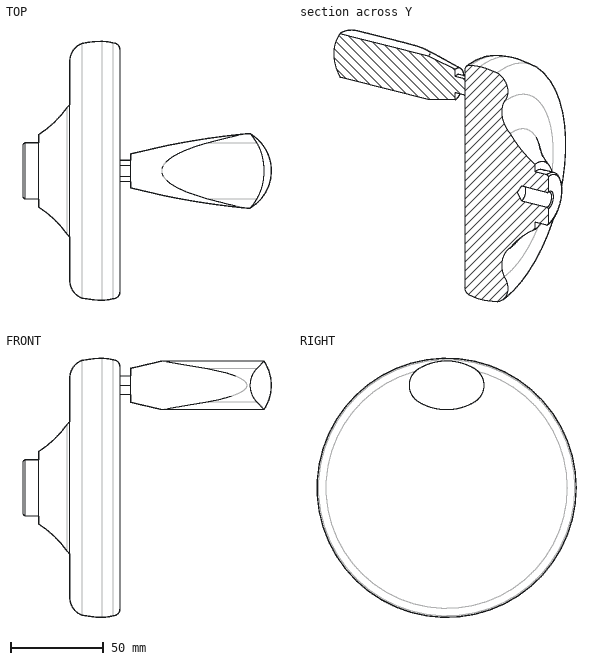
import cadquery as cq
import math

nose_radius = 15.3
nose_length = 8.4
nose_chamfer = 1.0
hole_radius = 4.3
hole_depth = 16.8
hole_chamfer = 0.7
drill_tip_angle = 118.0

shoulder_radius = 19.6
flare_middle = (16.5, 25.9)
flare_end = (23.8, 34.3)
valley_bottom = (29.0, 46.0)

wheel_radius = 70.0
rim_inner = (27.6, 52.5)
rim_front = (25.2, 58.5)
rim_shoulder = (31.9, 68.9)
rim_crown_front = (37.1, 69.7)
rim_crown_x = 42.5
rim_crown_rear = (45.6, 69.78)
rim_rear_edge = (48.6, 69.2)
rim_rear_bend = (51.5, 67.8)
rim_rear_radius = 65.1
wheel_back_x = 52.4

grip_offset = 55.3
stem_across_flats = 10.1
grip_start_x = 58.1
grip_start_radius = 9.2
grip_middle = (90.3, 16.1)
dome_start_x = 122.3
grip_end_radius = 20.3
tip_x = 134.1

oval_half_height = 13.2
oval_top_radius = 29.3
oval_end_radius = 10.5
oval_half_width = 20.2


def make_wheel():
    """Revolve the solid handwheel about X, then bore the centre hole."""
    profile = (
        cq.Workplane("XY")
        .lineTo(0, nose_radius - nose_chamfer)
        .lineTo(nose_chamfer, nose_radius)
        .lineTo(nose_length, nose_radius)
        .lineTo(nose_length, shoulder_radius)
        .threePointArc(flare_middle, flare_end)
        .threePointArc(valley_bottom, rim_inner)
        .threePointArc(rim_front, rim_shoulder)
        .threePointArc(rim_crown_front, (rim_crown_x, wheel_radius))
        .threePointArc(rim_crown_rear, rim_rear_edge)
        .threePointArc(rim_rear_bend, (wheel_back_x, rim_rear_radius))
        .lineTo(wheel_back_x, 0)
        .close()
    )
    wheel = profile.revolve(360, (0, 0, 0), (1, 0, 0))
    return wheel.cut(make_centre_hole())


def make_centre_hole():
    """Chamfered blind hole with a conical drill tip."""
    tip_length = hole_radius / math.tan(math.radians(drill_tip_angle / 2))
    return (
        cq.Workplane("XY")
        .lineTo(0, hole_radius + hole_chamfer)
        .lineTo(hole_chamfer, hole_radius)
        .lineTo(hole_depth, hole_radius)
        .lineTo(hole_depth + tip_length, 0)
        .close()
        .revolve(360, (0, 0, 0), (1, 0, 0))
    )


def make_grip_blank():
    """Round flared grip with a domed end, centred on X."""
    dome_height = tip_x - dome_start_x
    dome_radius = (grip_end_radius**2 + dome_height**2) / (2 * dome_height)
    half_angle = math.asin(grip_end_radius / dome_radius) / 2
    dome_middle = (
        tip_x - dome_radius * (1 - math.cos(half_angle)),
        dome_radius * math.sin(half_angle),
    )
    return (
        cq.Workplane("XY")
        .moveTo(grip_start_x, 0)
        .lineTo(grip_start_x, grip_start_radius)
        .threePointArc(grip_middle, (dome_start_x, grip_end_radius))
        .threePointArc(dome_middle, (tip_x, 0))
        .close()
        .revolve(360, (0, 0, 0), (1, 0, 0))
    )


def make_oval():
    """Oval prism along X: wide top and bottom arcs meet small end arcs tangentially."""
    end_centre = oval_half_width - oval_end_radius
    join_angle = math.asin(end_centre / (oval_top_radius - oval_end_radius))
    join_y = end_centre + oval_end_radius * math.sin(join_angle)
    join_z = oval_end_radius * math.cos(join_angle)
    return (
        cq.Workplane("YZ", origin=(grip_start_x, 0, 0))
        .moveTo(-join_y, join_z)
        .threePointArc((0, oval_half_height), (join_y, join_z))
        .threePointArc((oval_half_width, 0), (join_y, -join_z))
        .threePointArc((0, -oval_half_height), (-join_y, -join_z))
        .threePointArc((-oval_half_width, 0), (-join_y, join_z))
        .close()
        .extrude(tip_x - grip_start_x)
    )


def make_handle():
    """Flattened grip and hexagonal stem in one piece, seated on the wheel back."""
    grip = make_grip_blank().intersect(make_oval())
    stem_across_corners = stem_across_flats / math.cos(math.pi / 6)
    stem = (
        cq.Workplane("YZ", origin=(wheel_back_x, 0, 0))
        .polygon(6, stem_across_corners)
        .extrude(grip_start_x - wheel_back_x)
    )
    return grip.union(stem).translate((0, 0, grip_offset))


wheel = make_wheel()
handle = make_handle()

result = cq.Compound.makeCompound([wheel.val(), *handle.solids().vals()])